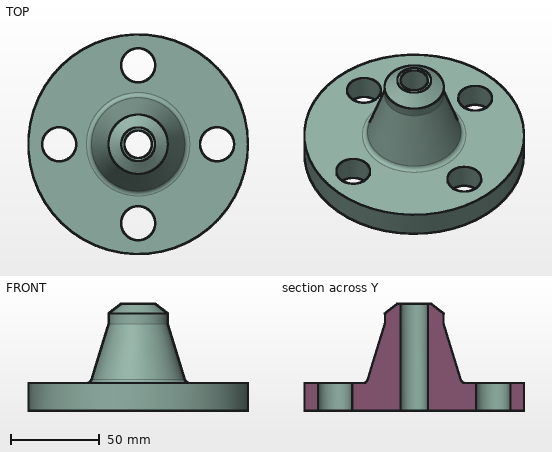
import cadquery as cq
import math

flange_diameter = 123.9
flange_thickness = 15.7

bolt_count = 4
bolt_circle_diameter = 89.0
bolt_hole_diameter = 19.1

total_height = 60.5
neck_diameter = 33.5
bore_diameter = 15.4
land_width = 1.9
bevel_angle = 37.5
collar_height = 6.0

hub_base_diameter = 53.9
hub_fillet_radius = 3.0

neck_radius = neck_diameter / 2
land_radius = bore_diameter / 2 + land_width
bevel_height = (neck_radius - land_radius) * math.tan(math.radians(bevel_angle))
collar_top = total_height - bevel_height
collar_bottom = collar_top - collar_height


def make_flange():
    """Round plate resting on the XY plane."""
    return cq.Workplane("XY").circle(flange_diameter / 2).extrude(flange_thickness)


def make_hub():
    """Tapered hub, straight collar and welding bevel, revolved about Z."""
    return (
        cq.Workplane("XZ")
        .lineTo(hub_base_diameter / 2, 0)
        .lineTo(hub_base_diameter / 2, flange_thickness)
        .lineTo(neck_radius, collar_bottom)
        .lineTo(neck_radius, collar_top)
        .lineTo(land_radius, total_height)
        .lineTo(0, total_height)
        .close()
        .revolve(360, (0, 0, 0), (0, 1, 0))
    )


def fillet_hub_base(body):
    """Round the inside corner between the taper and the flange face."""
    flange_top = body.faces("+Z").faces("<Z")
    return flange_top.edges(cq.selectors.RadiusNthSelector(0)).fillet(hub_fillet_radius)


def cut_bolt_holes(body):
    """Through holes on the bolt circle, the first one on the X axis."""
    holes = (
        cq.Workplane("XY")
        .polarArray(bolt_circle_diameter / 2, 0, 360, bolt_count)
        .circle(bolt_hole_diameter / 2)
        .extrude(flange_thickness)
    )
    return body.cut(holes)


def cut_bore(body):
    """Straight bore through the full height."""
    bore = cq.Workplane("XY").circle(bore_diameter / 2).extrude(total_height)
    return body.cut(bore)


result = make_flange().union(make_hub())
result = fillet_hub_base(result)
result = cut_bolt_holes(result)
result = cut_bore(result)